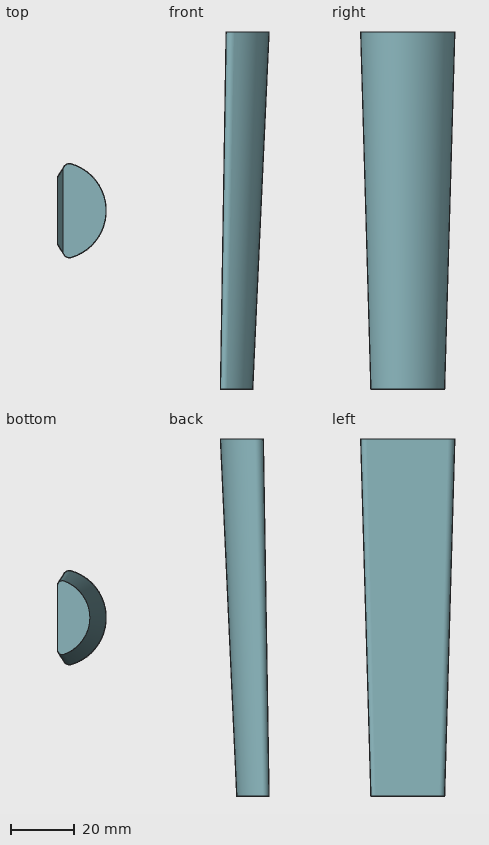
import cadquery as cq
import math

length = 112.0
overall_x = 15.3

bottom_crown_radius = 12.2
bottom_depth = 10.2
bottom_corner_radius = 1.6

top_crown_radius = 15.3
top_depth = 13.5
top_corner_radius = 2.0

flat_lean = overall_x - top_depth


def end_section(z, flat_x, crown_radius, depth, corner_radius):
    """D-shaped wire: a flat and a crown arc, joined by tangent corner arcs."""
    crown_center_x = flat_x + depth - crown_radius
    corner_x = flat_x + corner_radius
    center_distance = crown_radius - corner_radius
    corner_y = math.sqrt(center_distance**2 - (corner_x - crown_center_x)**2)

    tangent_angle = math.atan2(corner_y, corner_x - crown_center_x)
    tangent_x = crown_center_x + crown_radius * math.cos(tangent_angle)
    tangent_y = crown_radius * math.sin(tangent_angle)

    middle_angle = (tangent_angle + math.pi) / 2
    middle_x = corner_x + corner_radius * math.cos(middle_angle)
    middle_y = corner_y + corner_radius * math.sin(middle_angle)

    return (
        cq.Workplane("XY", origin=(0, 0, z))
        .moveTo(flat_x, corner_y)
        .lineTo(flat_x, -corner_y)
        .threePointArc((middle_x, -middle_y), (tangent_x, -tangent_y))
        .threePointArc((flat_x + depth, 0), (tangent_x, tangent_y))
        .threePointArc((middle_x, middle_y), (flat_x, corner_y))
        .close()
        .val()
    )


bottom_section = end_section(
    0, 0, bottom_crown_radius, bottom_depth, bottom_corner_radius
)
top_section = end_section(
    length, flat_lean, top_crown_radius, top_depth, top_corner_radius
)

tapered_bar = cq.Solid.makeLoft([bottom_section, top_section], True)
result = cq.Workplane(obj=tapered_bar)